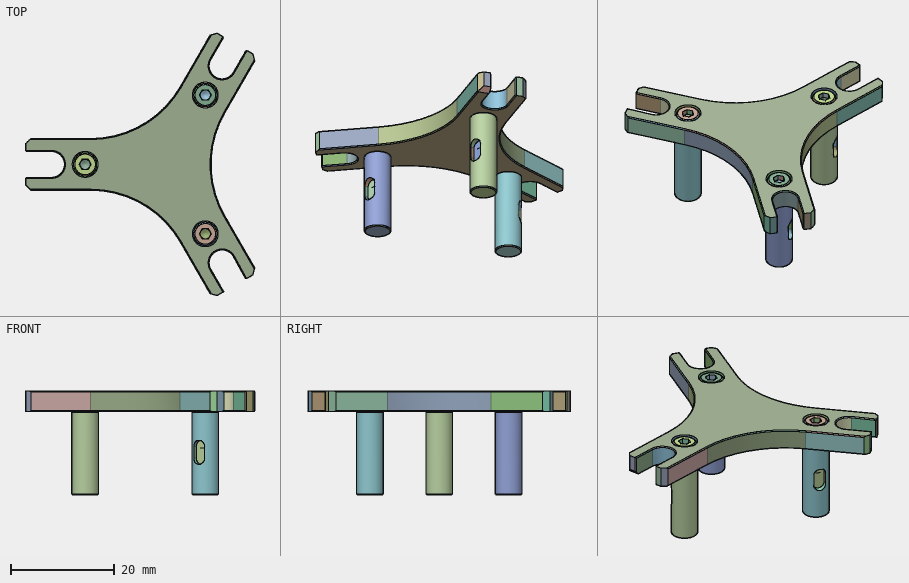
import cadquery as cq
import math

arm_spacing = 120
arm_angles = (60, 180, 300)
arm_length = 27.0
arm_half_width = 5.0
arm_corner_chamfer = 1.0
web_radius = 20.0
trim_margin = 5.0

plate_thickness = 4.0
edge_chamfer = 0.2
fork_slot_radius = 2.5
fork_arc_offset = 5.0
fork_slot_center = arm_length - fork_arc_offset
slot_taper = {60: 0, 180: 0, 300: 0.12}
mouth_chamfer = {60: edge_chamfer, 180: edge_chamfer, 300: 0}
mark_arm_angle = 180
mark_chamfer = 1.0

joint_distance = 15.5
counterbore_diameter = 5.0
clearance_diameter = 3.0
seat_height = 1.4

head_diameter = 4.5
head_height = 2.5
head_chamfer = 0.25
shank_diameter = 2.5
screw_reach = 7.0
hex_across_flats = 2.0
hex_depth = 1.1
hex_turn = 30
socket_tip_height = 0.5

leg_diameter = 5.2
leg_length = 16.1
leg_chamfer = 0.2
leg_slot_width = 2.4
leg_slot_length = 4.65
leg_slot_depth = 1.2
leg_slot_height = 8.23
leg_slot_directions = {60: 120, 180: 120, 300: 240}


def place_on_arm(body, angle):
    """Turn a body made on the +X arm onto the arm at the given angle."""
    return body.rotate((0, 0, 0), (0, 0, 1), angle)


def polar_point(radius, angle):
    turn = math.radians(angle)
    return (radius * math.cos(turn), radius * math.sin(turn))


def arm_point(along, across, angle):
    """Point given along and across an arm, in plate coordinates."""
    turn = math.radians(angle)
    return (
        along * math.cos(turn) - across * math.sin(turn),
        along * math.sin(turn) + across * math.cos(turn),
    )


def make_blank():
    """Three long arms joined by tangent arcs."""
    half_gap = math.radians(arm_spacing / 2)
    corner_along = arm_half_width / math.tan(half_gap)
    tangent_along = corner_along + web_radius / math.tan(half_gap)
    corner_radius = arm_half_width / math.sin(half_gap)
    web_middle = corner_radius + web_radius / math.sin(half_gap) - web_radius
    raw_end = arm_length + trim_margin

    outline = cq.Workplane("XY").moveTo(*arm_point(tangent_along, -arm_half_width, arm_angles[0]))
    for angle in arm_angles:
        outline = (
            outline.lineTo(*arm_point(raw_end, -arm_half_width, angle))
            .lineTo(*arm_point(raw_end, arm_half_width, angle))
            .lineTo(*arm_point(tangent_along, arm_half_width, angle))
            .threePointArc(
                polar_point(web_middle, angle + arm_spacing / 2),
                arm_point(tangent_along, -arm_half_width, angle + arm_spacing),
            )
        )
    return outline.close().extrude(plate_thickness)


def make_fork_slot(taper):
    """Open-ended slot that reaches past the raw arm end."""
    slot_end = arm_length + 2 * trim_margin
    taper_rate = taper / (arm_length - fork_slot_center)
    tapered_wall = fork_slot_radius - taper_rate * (slot_end - fork_slot_center)
    return (
        cq.Workplane("XY")
        .moveTo(slot_end, -fork_slot_radius)
        .lineTo(fork_slot_center, -fork_slot_radius)
        .threePointArc(
            (fork_slot_center - fork_slot_radius, 0),
            (fork_slot_center, fork_slot_radius),
        )
        .lineTo(slot_end, tapered_wall)
        .close()
        .extrude(plate_thickness)
    )


def make_end_trim(taper, chamfer):
    """Material outside the finished arm end: end face, corners and slot mouth."""
    raw_end = arm_length + 2 * trim_margin
    outer = arm_half_width + trim_margin
    corner_start = arm_length - arm_corner_chamfer - trim_margin
    left_mouth = fork_slot_radius - taper + edge_chamfer
    right_mouth = fork_slot_radius + chamfer
    mouth_middle = (left_mouth - right_mouth) / 2
    mouth_depth = (left_mouth + right_mouth) / 2
    return (
        cq.Workplane("XY")
        .polyline([
            (raw_end, -outer),
            (corner_start, -outer),
            (arm_length, arm_corner_chamfer - arm_half_width),
            (arm_length, -right_mouth),
            (arm_length - mouth_depth, mouth_middle),
            (arm_length, left_mouth),
            (arm_length, arm_half_width - arm_corner_chamfer),
            (corner_start, outer),
            (raw_end, outer),
        ])
        .close()
        .extrude(plate_thickness)
    )


def make_screw_hole():
    """Clearance hole with a counterbore."""
    radius = counterbore_diameter / 2
    clearance_radius = clearance_diameter / 2
    return (
        cq.Workplane("XZ")
        .polyline([
            (0, 0),
            (clearance_radius, 0),
            (clearance_radius, seat_height),
            (radius, seat_height),
            (radius, plate_thickness),
            (0, plate_thickness),
        ])
        .close()
        .revolve(360, (0, 0), (0, 1))
        .translate((joint_distance, 0, 0))
    )


def make_prong_bevel():
    """Wedge under the end of one prong of an arm on +X, on its -Y side."""
    return (
        cq.Workplane("XZ")
        .polyline([
            (arm_length - mark_chamfer, 0),
            (arm_length, mark_chamfer),
            (arm_length, 0),
        ])
        .close()
        .extrude(arm_half_width)
    )


def make_plate():
    plate = make_blank()
    for angle in arm_angles:
        plate = plate.cut(place_on_arm(make_fork_slot(slot_taper[angle]), angle))
    plate = plate.faces("|Z").edges().chamfer(edge_chamfer)
    for angle in arm_angles:
        plate = plate.cut(place_on_arm(make_end_trim(slot_taper[angle], mouth_chamfer[angle]), angle))
        plate = plate.cut(place_on_arm(make_screw_hole(), angle))
    return plate.cut(place_on_arm(make_prong_bevel(), mark_arm_angle))


def make_screw(angle):
    """Cap screw whose head sits in the counterbore."""
    head = (
        cq.Workplane("XY", origin=(0, 0, seat_height))
        .circle(head_diameter / 2)
        .extrude(head_height)
        .faces(">Z").edges().chamfer(head_chamfer)
    )
    shank = (
        cq.Workplane("XY", origin=(0, 0, seat_height))
        .circle(shank_diameter / 2)
        .extrude(-(seat_height + screw_reach))
    )
    socket_floor = seat_height + head_height - hex_depth
    socket = (
        cq.Workplane("XY", origin=(0, 0, socket_floor))
        .polygon(6, hex_across_flats, circumscribed=True)
        .extrude(hex_depth)
        .rotate((0, 0, 0), (0, 0, 1), hex_turn)
    )
    socket_tip = cq.Workplane(
        cq.Solid.makeCone(
            0, hex_across_flats / 2, socket_tip_height,
            pnt=cq.Vector(0, 0, socket_floor - socket_tip_height),
        )
    )
    screw = head.union(shank).cut(socket).cut(socket_tip)
    return screw.translate((*polar_point(joint_distance, angle), 0))


def make_leg(angle):
    """Round leg with a screw hole on top and a shallow slot in its side."""
    leg_radius = leg_diameter / 2
    leg = (
        cq.Workplane("XY")
        .circle(leg_radius)
        .extrude(-leg_length)
        .faces("|Z").edges().chamfer(leg_chamfer)
    )
    screw_hole = cq.Workplane("XY").circle(shank_diameter / 2).extrude(-screw_reach)
    side_slot = (
        cq.Workplane("YZ", origin=(leg_radius - leg_slot_depth, 0, leg_slot_height - leg_length))
        .slot2D(leg_slot_length, leg_slot_width, 90)
        .extrude(leg_diameter)
        .rotate((0, 0, 0), (0, 0, 1), leg_slot_directions[angle])
    )
    leg = leg.cut(screw_hole).cut(side_slot)
    return leg.translate((*polar_point(joint_distance, angle), 0))


plate = make_plate()
screws = [make_screw(angle) for angle in arm_angles]
legs = [make_leg(angle) for angle in arm_angles]

result = cq.Compound.makeCompound(
    [plate.val()] + [screw.val() for screw in screws] + [leg.val() for leg in legs]
)